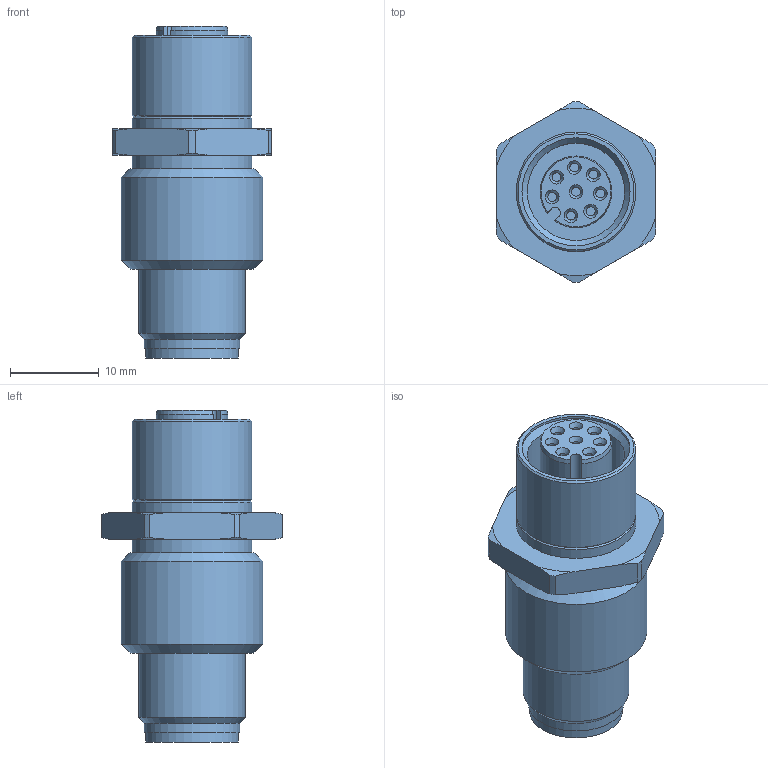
import cadquery as cq
import math

TAIL_TOP = 1.05
COLLAR_TOP = 2.1
STEM_CONE_TOP = 2.8
STEM_TOP = 10.05
BODY_TOP = 21.4
NUT_BOTTOM = 22.9
GROOVE_BOTTOM = 27.1
SLEEVE_TOP = 36.45
TOTAL_HEIGHT = 37.5

TAIL_RADIUS = 5.25
COLLAR_RADIUS = 5.4
STEM_RADIUS = 6.0
BODY_RADIUS = 8.0
BODY_CHAMFER = 1.0
SLEEVE_RADIUS = 6.75
SLEEVE_CHAMFER = 0.2
GROOVE_WIDTH = 0.3
GROOVE_DEPTH = GROOVE_WIDTH / 2
GROOVE_TOP = GROOVE_BOTTOM + GROOVE_WIDTH

MOUTH_RADIUS = 6.1
BORE_RADIUS = 5.5
MOUTH_STRAIGHT_DEPTH = 0.3
MOUTH_CONE_DEPTH = 0.7
SOCKET_FLOOR = GROOVE_TOP

INSERT_RADIUS = 4.05
INSERT_TOP_RADIUS = 3.95
INSERT_TAPER_HEIGHT = 0.5

HOLES_IN_RING = 7
HOLE_RING_RADIUS = 2.75
HOLE_PITCH_ANGLE = 49.0
RING_MIDDLE_ANGLE = 45.0
HOLE_RADIUS = 0.5
HOLE_MOUTH_RADIUS = 0.78
HOLE_CONE_DEPTH = 0.6
HOLE_DEPTH = 5.0

SLOT_WIDTH = 1.25
SLOT_CENTER_RADIUS = 3.36
SLOT_ANGLE = RING_MIDDLE_ANGLE + 180.0

NUT_SIDES = 6
NUT_THICKNESS = 3.0
NUT_ACROSS_FLATS = 18.0
NUT_CORNER_RADIUS = 10.2
NUT_FACE_RADIUS = 9.45
NUT_CHAMFER_HEIGHT = 0.2


def revolve_profile(points):
    """Turn a closed (radius, height) outline about the Z axis."""
    return cq.Workplane("XZ").polyline(points).close().revolve(360, (0, 0, 0), (0, 1, 0))


def make_body():
    """Turned outside of the connector, with the socket and its insert."""
    body_edge_radius = BODY_RADIUS - BODY_CHAMFER
    cone_start = SLEEVE_TOP - MOUTH_STRAIGHT_DEPTH
    return revolve_profile([
        (0, 0),
        (TAIL_RADIUS, 0),
        (TAIL_RADIUS, TAIL_TOP),
        (COLLAR_RADIUS, TAIL_TOP),
        (COLLAR_RADIUS, COLLAR_TOP),
        (STEM_RADIUS, STEM_CONE_TOP),
        (STEM_RADIUS, STEM_TOP),
        (body_edge_radius, STEM_TOP),
        (BODY_RADIUS, STEM_TOP + BODY_CHAMFER),
        (BODY_RADIUS, BODY_TOP - BODY_CHAMFER),
        (body_edge_radius, BODY_TOP),
        (SLEEVE_RADIUS, BODY_TOP),
        (SLEEVE_RADIUS, GROOVE_BOTTOM),
        (SLEEVE_RADIUS - GROOVE_DEPTH, GROOVE_BOTTOM + GROOVE_DEPTH),
        (SLEEVE_RADIUS, GROOVE_TOP),
        (SLEEVE_RADIUS, SLEEVE_TOP - SLEEVE_CHAMFER),
        (SLEEVE_RADIUS - SLEEVE_CHAMFER, SLEEVE_TOP),
        (MOUTH_RADIUS, SLEEVE_TOP),
        (MOUTH_RADIUS, cone_start),
        (BORE_RADIUS, cone_start - MOUTH_CONE_DEPTH),
        (BORE_RADIUS, SOCKET_FLOOR),
        (INSERT_RADIUS, SOCKET_FLOOR),
        (INSERT_RADIUS, TOTAL_HEIGHT - INSERT_TAPER_HEIGHT),
        (INSERT_TOP_RADIUS, TOTAL_HEIGHT),
        (0, TOTAL_HEIGHT),
    ])


def make_nut():
    """Hexagon with flats facing +X and -X, its corners turned and chamfered."""
    across_corners = NUT_ACROSS_FLATS / math.cos(math.pi / NUT_SIDES)
    nut_top = NUT_BOTTOM + NUT_THICKNESS
    hexagon = (
        cq.Workplane("XY", origin=(0, 0, NUT_BOTTOM))
        .transformed(rotate=(0, 0, 180 / NUT_SIDES))
        .polygon(NUT_SIDES, across_corners)
        .extrude(NUT_THICKNESS)
    )
    turned_blank = revolve_profile([
        (0, NUT_BOTTOM),
        (NUT_FACE_RADIUS, NUT_BOTTOM),
        (NUT_CORNER_RADIUS, NUT_BOTTOM + NUT_CHAMFER_HEIGHT),
        (NUT_CORNER_RADIUS, nut_top - NUT_CHAMFER_HEIGHT),
        (NUT_FACE_RADIUS, nut_top),
        (0, nut_top),
    ])
    return hexagon.intersect(turned_blank)


def make_contact_hole():
    """Cutter for one blind contact hole with a conical mouth, on the Z axis."""
    return revolve_profile([
        (0, TOTAL_HEIGHT - HOLE_DEPTH),
        (HOLE_RADIUS, TOTAL_HEIGHT - HOLE_DEPTH),
        (HOLE_RADIUS, TOTAL_HEIGHT - HOLE_CONE_DEPTH),
        (HOLE_MOUTH_RADIUS, TOTAL_HEIGHT),
        (0, TOTAL_HEIGHT),
    ])


def cut_contact_holes(part):
    hole = make_contact_hole()
    part = part.cut(hole)
    first_angle = RING_MIDDLE_ANGLE - HOLE_PITCH_ANGLE * (HOLES_IN_RING - 1) / 2
    for index in range(HOLES_IN_RING):
        angle = math.radians(first_angle + index * HOLE_PITCH_ANGLE)
        x = HOLE_RING_RADIUS * math.cos(angle)
        y = HOLE_RING_RADIUS * math.sin(angle)
        part = part.cut(hole.translate((x, y, 0)))
    return part


def cut_coding_slot(part):
    """Round-ended slot down the side of the insert, open to the socket."""
    reach = (INSERT_RADIUS + BORE_RADIUS) / 2 - SLOT_CENTER_RADIUS
    half_width = SLOT_WIDTH / 2
    slot = (
        cq.Workplane("XY", origin=(SLOT_CENTER_RADIUS, 0, SOCKET_FLOOR))
        .moveTo(0, half_width)
        .threePointArc((-half_width, 0), (0, -half_width))
        .hLine(reach)
        .vLine(SLOT_WIDTH)
        .close()
        .extrude(TOTAL_HEIGHT - SOCKET_FLOOR)
        .rotate((0, 0, 0), (0, 0, 1), SLOT_ANGLE)
    )
    return part.cut(slot)


result = make_body().union(make_nut())
result = cut_contact_holes(result)
result = cut_coding_slot(result)